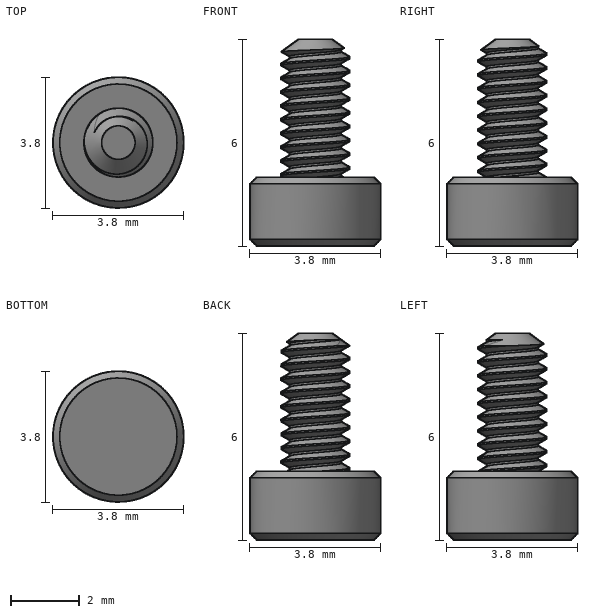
import cadquery as cq
import math

TOTAL_LENGTH = 6.0
HEAD_HEIGHT = TOTAL_LENGTH / 3
HEAD_DIAMETER = 1.9 * HEAD_HEIGHT
HEAD_CHAMFER = HEAD_HEIGHT / 10

MAJOR_RADIUS = HEAD_HEIGHT / 2
PITCH = HEAD_HEIGHT / 5
FLANK_HALF_ANGLE = 30.0
CREST_WIDTH = PITCH / 8
THREAD_DEPTH = 17 / 24 * PITCH * math.cos(math.radians(FLANK_HALF_ANGLE))
ROOT_RADIUS = MAJOR_RADIUS - THREAD_DEPTH
FIRST_CREST_HEIGHT = 0.265
RIDGE_OVERLAP = 0.02

TIP_RADIUS = 0.485
TIP_SLOPE = 36.0

SHANK_BASE = HEAD_HEIGHT / 2
ENVELOPE_CLEARANCE = 0.12


def make_head():
    """Cylindrical head with equal chamfers on both rims."""
    head = cq.Workplane("XY").circle(HEAD_DIAMETER / 2).extrude(HEAD_HEIGHT)
    return head.edges("%CIRCLE").chamfer(HEAD_CHAMFER)


def make_ridge():
    """Helical ridge with sloped flanks that runs from inside the head to beyond the tip."""
    start_z = HEAD_HEIGHT + FIRST_CREST_HEIGHT - 2 * PITCH
    turns = math.ceil((TOTAL_LENGTH - start_z) / PITCH) + 1
    inner_radius = ROOT_RADIUS - RIDGE_OVERLAP
    flank_run = (MAJOR_RADIUS - inner_radius) * math.tan(math.radians(FLANK_HALF_ANGLE))
    crest_half = CREST_WIDTH / 2
    root_half = crest_half + flank_run
    profile = (
        cq.Workplane("XZ")
        .polyline([
            (inner_radius, start_z - root_half),
            (MAJOR_RADIUS, start_z - crest_half),
            (MAJOR_RADIUS, start_z + crest_half),
            (inner_radius, start_z + root_half),
        ])
        .close()
    )
    helix = cq.Wire.makeHelix(PITCH, turns * PITCH, ROOT_RADIUS, center=cq.Vector(0, 0, start_z))
    return profile.sweep(cq.Workplane(helix), isFrenet=True)


def make_shank_envelope():
    """Space the shank may fill: a cylinder clear of the crests, topped by the tip cone."""
    outer_radius = MAJOR_RADIUS + ENVELOPE_CLEARANCE
    cone_height = (outer_radius - TIP_RADIUS) * math.tan(math.radians(TIP_SLOPE))
    return (
        cq.Workplane("XZ")
        .polyline([
            (0, SHANK_BASE),
            (outer_radius, SHANK_BASE),
            (outer_radius, TOTAL_LENGTH - cone_height),
            (TIP_RADIUS, TOTAL_LENGTH),
            (0, TOTAL_LENGTH),
        ])
        .close()
        .revolve(360, (0, 0, 0), (0, 1, 0))
    )


def make_threaded_shank():
    """Core and ridge together, trimmed to the conical tip."""
    core_length = TOTAL_LENGTH - SHANK_BASE
    core = cq.Workplane("XY").workplane(offset=SHANK_BASE).circle(ROOT_RADIUS).extrude(core_length)
    return core.union(make_ridge()).intersect(make_shank_envelope())


result = make_head().union(make_threaded_shank())